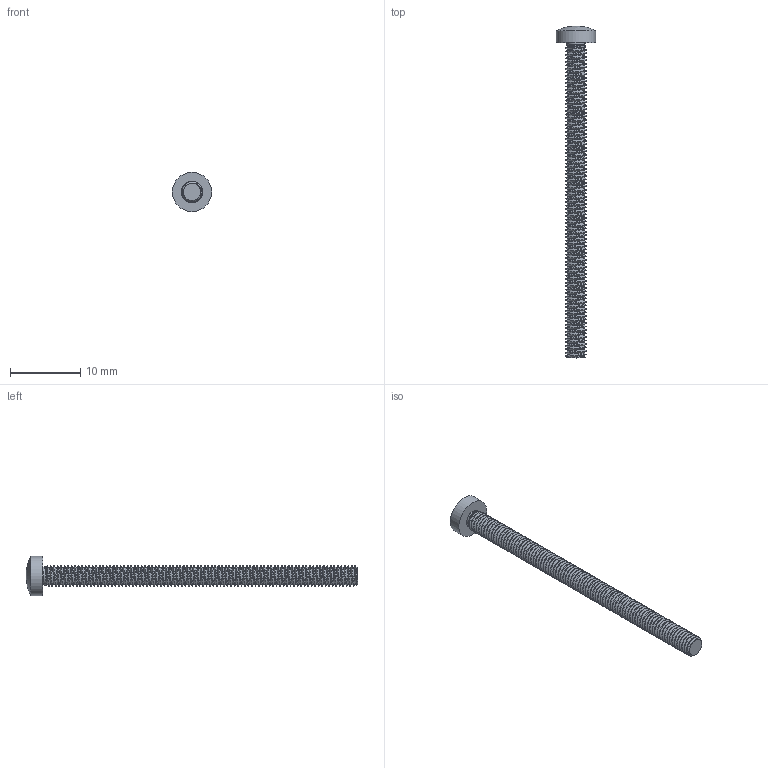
import cadquery as cq
import math


head_diameter = 5.6
head_height = 2.38
dome_height = 0.65

shank_length = 45.0
thread_diameter = 3.0
pitch = 0.5
flank_angle = 60.0
neck_diameter = 2.6
neck_length = 0.55

segment_count = 9
segment_length = shank_length / segment_count

flank_slope = math.tan(math.radians(flank_angle / 2))
triangle_height = pitch / 2 / flank_slope
thread_depth = triangle_height * 5 / 8
crest_width = pitch / 8

head_radius = head_diameter / 2
thread_radius = thread_diameter / 2
root_radius = thread_radius - thread_depth
neck_radius = neck_diameter / 2
tip_radius = root_radius

root_overlap = 0.03
crest_clearance = 0.1
sewing_tolerance = 1e-4
clear_radius = thread_radius + crest_clearance


def revolve_about_axis(profile):
    """Full turn about the Y axis of a profile of (radius, Y) points."""
    points = [(y, radius) for radius, y in profile]
    return cq.Workplane("YZ").polyline(points).close().revolve(360, (0, 0, 0), (1, 0, 0))


def make_head():
    """Cylindrical head with a spherical dome on top."""
    rim_height = head_height - dome_height
    dome_radius = (head_radius**2 + dome_height**2) / (2 * dome_height)
    mid_radius = head_radius / 2
    mid_height = head_height - dome_radius + math.sqrt(dome_radius**2 - mid_radius**2)
    return (
        cq.Workplane("YZ")
        .lineTo(0, head_radius)
        .lineTo(rim_height, head_radius)
        .threePointArc((mid_height, mid_radius), (head_height, 0))
        .close()
        .revolve(360, (0, 0, 0), (1, 0, 0))
    )


def make_ridge():
    """Right-handed helical ridge reaching past both ends of a segment."""
    ridge_length = segment_length + 2 * pitch
    base_radius = root_radius - root_overlap
    crest_half = crest_width / 2
    base_half = crest_half + (thread_radius - base_radius) * flank_slope
    corners = [
        (base_radius, -base_half),
        (thread_radius, -crest_half),
        (thread_radius, crest_half),
        (base_radius, base_half),
    ]
    helices = [
        cq.Wire.makeHelix(pitch, ridge_length, radius, cq.Vector(0, 0, height))
        for radius, height in corners
    ]
    faces = [cq.Face.makeRuledSurface(helices[i - 1], helices[i]) for i in range(len(helices))]
    for end_height in (0, ridge_length):
        end_points = [cq.Vector(radius, 0, height + end_height) for radius, height in corners]
        faces.append(cq.Face.makeFromWires(cq.Wire.makePolygon(end_points, close=True)))
    ridge = cq.Workplane(cq.Solid.makeSolid(cq.Shell.makeShell(faces)))
    return (
        ridge.rotate((0, 0, 0), (1, 0, 0), 90)
        .translate((0, pitch, 0))
    )


def make_segment():
    """Threaded rod from Y = 0 down to one segment length, cut square at both ends."""
    core_overrun = 2 * pitch
    core_length = segment_length + 2 * core_overrun
    core = cq.Workplane("XZ", origin=(0, core_overrun, 0)).circle(root_radius).extrude(core_length)
    trim = cq.Workplane("XZ").circle(clear_radius).extrude(segment_length)
    return core.union(make_ridge(), clean=False).intersect(trim, clean=False)


def make_head_end(segment):
    """Head with the first segment, its crests cut down to the neck and a conical run-in."""
    neck_slice = cq.Workplane("XZ").circle(clear_radius).extrude(neck_length)
    neck_envelope = cq.Workplane("XZ", origin=(0, pitch, 0)).circle(neck_radius).extrude(segment_length)
    run_in_end = neck_length + clear_radius - neck_radius
    thread_envelope = revolve_about_axis(
        [
            (0, -neck_length),
            (neck_radius, -neck_length),
            (clear_radius, -run_in_end),
            (clear_radius, -segment_length - pitch),
            (0, -segment_length - pitch),
        ]
    )
    neck = segment.intersect(neck_slice, clean=False).intersect(neck_envelope, clean=False)
    thread = segment.intersect(thread_envelope, clean=False)
    return make_head().union(neck, clean=False).union(thread, clean=False)


def make_tip_end(segment):
    """Last segment with a 45 degree chamfer down to the thread root."""
    chamfer_start = segment_length - (clear_radius - tip_radius)
    ring = revolve_about_axis(
        [
            (clear_radius, -chamfer_start),
            (tip_radius, -segment_length),
            (clear_radius, -segment_length),
        ]
    )
    tip = segment.cut(ring, clean=False)
    return tip.translate((0, segment_length - shank_length, 0))


def join_segments(segments):
    """Sew the segments into one solid, dropping the flat faces where they meet."""
    joints = [-segment_length * i for i in range(1, segment_count)]
    skin = []
    for segment in segments:
        skin += segment.faces("not %PLANE").vals()
        for face in segment.faces("%PLANE").vals():
            nearest_joint = min(abs(face.Center().y - joint) for joint in joints)
            if nearest_joint > sewing_tolerance:
                skin.append(face)
    shell = cq.occ_impl.shapes.shell(*skin, tol=sewing_tolerance)
    return cq.Workplane(cq.Solid.makeSolid(shell))


plain_segment = make_segment()
middle_segments = [
    plain_segment.translate((0, -segment_length * i, 0)) for i in range(1, segment_count - 1)
]
segments = [make_head_end(plain_segment), *middle_segments, make_tip_end(plain_segment)]
result = join_segments(segments)